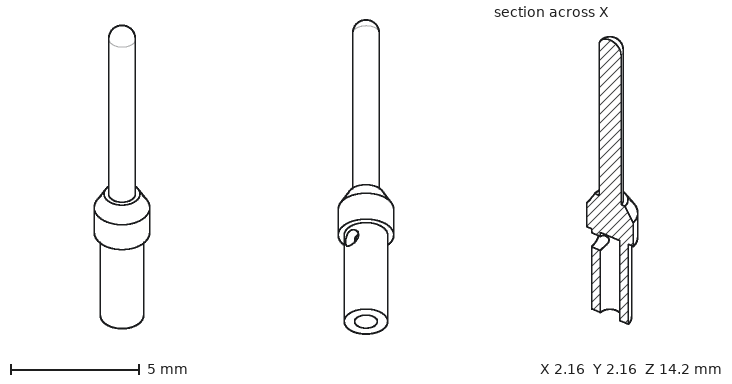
import cadquery as cq

total_height = 14.2

barrel_diameter = 1.69
bore_diameter = 0.88
inspection_hole_diameter = 0.7
inspection_hole_height = 3.55

collar_diameter = 2.16
shoulder_top_diameter = 1.40
collar_bottom = 4.1
shoulder_bottom = 5.33
shoulder_top = 6.0

pin_diameter = 1.04

barrel_radius = barrel_diameter / 2
collar_radius = collar_diameter / 2
shoulder_top_radius = shoulder_top_diameter / 2
pin_radius = pin_diameter / 2
tip_start = total_height - pin_radius
bore_depth = collar_bottom


def make_turned_body():
    """Revolve the half profile of barrel, collar, shoulder, pin and round tip."""
    return (
        cq.Workplane("XZ")
        .lineTo(barrel_radius, 0)
        .lineTo(barrel_radius, collar_bottom)
        .lineTo(collar_radius, collar_bottom)
        .lineTo(collar_radius, shoulder_bottom)
        .lineTo(shoulder_top_radius, shoulder_top)
        .lineTo(pin_radius, shoulder_top)
        .lineTo(pin_radius, tip_start)
        .radiusArc((0, total_height), -pin_radius)
        .close()
        .revolve(360, (0, 0, 0), (0, 1, 0))
    )


def make_wire_bore():
    """Blind bore entering the barrel from its lower end."""
    return cq.Workplane("XY").circle(bore_diameter / 2).extrude(bore_depth)


def make_inspection_hole():
    """Radial hole from the axis out through the +Y wall of the barrel."""
    return (
        cq.Workplane("XZ")
        .center(0, inspection_hole_height)
        .circle(inspection_hole_diameter / 2)
        .extrude(-barrel_diameter)
    )


result = make_turned_body().cut(make_wire_bore()).cut(make_inspection_hole())